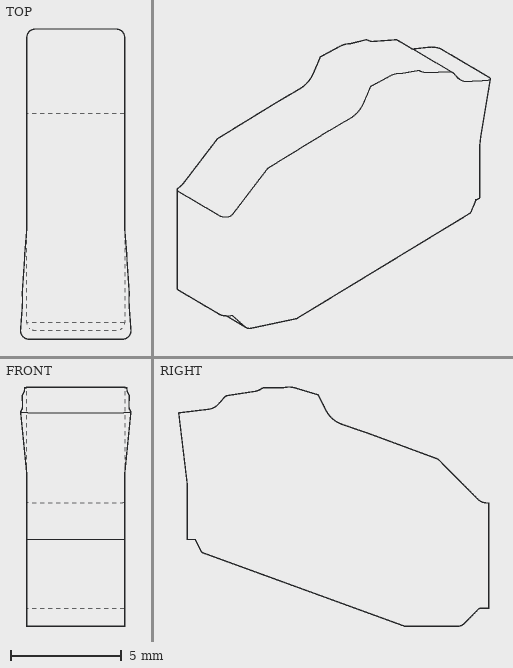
import cadquery as cq
import math

length = 14
body_width = 4.42
tip_width = 4.98
edge_radius = 0.39

tip_height = 9.63
front_y = 0.39
front_bottom_z = 3.9
relief_bottom_z = 6.37

rear_bottom_z = 0.81
rear_top_z = 5.57

crest_y = 5.04
crest_z = 10.82
flank_foot_y = 0.75
flank_foot_z = 6.87

side_corners = [
    (0, tip_height, 0),
    (1.62, 9.83, 0.7),
    (2.13, 10.4, 0.28),
    (3.6, 10.63, 0.63),
    (3.81, 10.77, 0.28),
    (4.7, 10.77, 0),
    (crest_y, crest_z, 0.98),
    (6.3, 10.45, 0.07),
    (6.89, 9.28, 1.26),
    (8.64, 8.68, 0),
    (11.7, 7.55, 0.28),
    (13.66, 5.57, 0.56),
    (length, rear_top_z, 0),
    (length, rear_bottom_z, 0),
    (13.57, rear_bottom_z, 0.14),
    (12.77, 0, 0.42),
    (10.19, 0, 0),
    (1.04, 3.33, 0.18),
    (flank_foot_y, front_bottom_z, 0),
    (front_y, front_bottom_z, 0),
    (front_y, relief_bottom_z, 0),
]


def unit(start, end):
    """Unit vector from one corner toward another."""
    dy = end[0] - start[0]
    dz = end[1] - start[1]
    size = math.hypot(dy, dz)
    return dy / size, dz / size


def corner_arc(before, corner, after):
    """Start, middle and end of the arc that rounds a corner."""
    y, z, radius = corner
    to_before = unit(corner, before)
    to_after = unit(corner, after)
    cosine = to_before[0] * to_after[0] + to_before[1] * to_after[1]
    half_angle = math.acos(cosine) / 2
    setback = radius / math.tan(half_angle)
    middle_distance = radius / math.sin(half_angle) - radius
    bisector = unit((0, 0), (to_before[0] + to_after[0], to_before[1] + to_after[1]))
    start = (y + setback * to_before[0], z + setback * to_before[1])
    middle = (y + middle_distance * bisector[0], z + middle_distance * bisector[1])
    end = (y + setback * to_after[0], z + setback * to_after[1])
    return start, middle, end


def rounded_prism(corners, width):
    """Prism centred on X from a side outline whose first corner is sharp."""
    outline = cq.Workplane("YZ").moveTo(*corners[0][:2])
    for i in range(1, len(corners)):
        corner = corners[i]
        if corner[2] == 0:
            outline = outline.lineTo(*corner[:2])
            continue
        start, middle, end = corner_arc(corners[i - 1], corner, corners[(i + 1) % len(corners)])
        outline = outline.lineTo(*start).threePointArc(middle, end)
    return outline.close().extrude(width / 2, both=True)


def flared_envelope():
    """Prism along the flank line whose sides spread toward the tip."""
    line_y, line_z = unit((flank_foot_y, flank_foot_z), (crest_y, crest_z))
    tip_distance = ((tip_height - flank_foot_z) * line_y
                    - (front_y - flank_foot_y) * line_z)
    flare_slope = (tip_width - body_width) / 2 / tip_distance
    reach = 2 * tip_distance
    base = body_width / 2
    top = base + flare_slope * reach
    plane = cq.Plane(
        origin=(0, flank_foot_y, flank_foot_z), xDir=(-1, 0, 0), normal=(0, line_y, line_z)
    )
    section = [(-base, 0), (base, 0), (top, reach), (-top, reach)]
    return cq.Workplane(plane).polyline(section).close().extrude(length, both=True)


body = rounded_prism(side_corners, body_width)
tip = rounded_prism(side_corners, 2 * body_width).intersect(flared_envelope())
blank = body.union(tip)

margin = 0.14
front_zone = cq.selectors.BoxSelector(
    (-tip_width, -margin, front_bottom_z + margin),
    (tip_width, front_y + margin, tip_height - margin),
)
cross_edges = cq.selectors.ParallelDirSelector(cq.Vector(1, 0, 0))
result = blank.edges(front_zone - cross_edges).fillet(edge_radius)
result = result.edges("|Z and >Y").fillet(edge_radius)